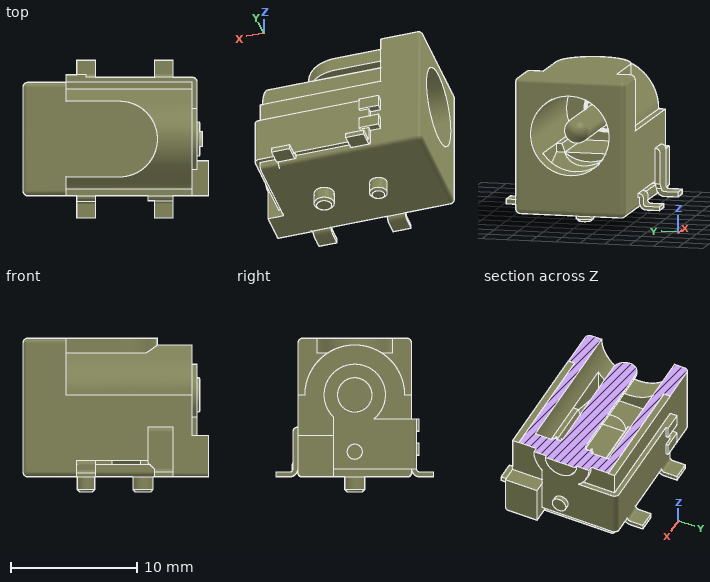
import cadquery as cq
import math

DIAGONAL = math.sqrt(0.5)

HALF_WIDTH = 4.5
HOUSING_TOP = 11.0
AXIS_Z = 6.5
FRONT_BLOCK_LENGTH = 3.4
SEAM_X = 11.9
HOUSING_END = 13.4
BARREL_RADIUS = 3.95
EDGE_RADIUS = 0.4
CAP_EDGE_RADIUS = 0.3

TONGUE_RADIUS = 3.0
TONGUE_END = 10.65
TONGUE_THICKNESS = 1.2

STEP_END = 14.7
STEP_HEIGHT = 3.3
STEP_INNER_Y = -1.7

LUG_LENGTH = 1.6
LUG_HEIGHT = 1.0
LUG_OUTER_Y = 5.1
LUG_BOTTOMS = (1.7, 3.6)

BORE_RADIUS = 3.2
RECESS_START = 1.8
RECESS_END = 6.3
RECESS_TOP = 4.68
RAMP_START_Z = 2.3
CHANNEL_FLOOR = 4.0
CHANNEL_FLOOR_HALF_WIDTH = 1.94
CHANNEL_TOP_HALF_WIDTH = 2.2

PIN_RADIUS = 1.0
PIN_TIP_X = 1.45
COLLAR_RADIUS = 1.1
COLLAR_LENGTH = 0.2
BOSS_RADIUS = 3.5 / 2
BOSS_RIM_RADIUS = 3.2 / 2
BOSS_RECESS_RADIUS = 3.0 / 2
BOSS_LENGTH = 0.4
BOSS_RECESS_DEPTH = 0.2

PEG_LENGTH = 1.2
PEG_CHAMFER = 0.2
PEGS = ((5.0, 1.4 / 2), (9.5, 1.6 / 2))

SHEET = 0.4
THIN_SHEET = 0.3
BEND_RADIUS = 0.25
FOOT_WIDTH = 1.5
FOOT_END_Y = 6.25
FRONT_FOOT_X = 4.25
REAR_FOOT_X = SEAM_X - FOOT_WIDTH

FRONT_TERMINAL_TOP = 1.3
FRONT_TERMINAL_OUTER_Y = 4.95
FRONT_TERMINAL_TOP_RADIUS = 0.35

TALL_PLATE_START = 9.9
TALL_PLATE_TOP = 3.95
TALL_PLATE_TOP_RADIUS = 0.38
TALL_PLATE_CORNER_Z = 1.1
PLATE_BOTTOM = SHEET + BEND_RADIUS

WRAP_TOP = 4.6
WRAP_DISC_RADIUS = 2.43

RIVET_RADIUS = 1.36
RIVET_LENGTH = 0.2
RIVET_ROUNDING = 0.1
STUD_RADIUS = 0.6
STUD_LENGTH = 0.4
STUD_Z = 2.0

SLOT_BOTTOM = 1.0
SLOT_TOP = FRONT_TERMINAL_TOP
SLOT_DEPTH = 1.0
SLOT_COVE_START = 7.05
SLOT_COVE_END = 9.3
SLOT_COVE_RADIUS = 0.5


def box(x0, x1, y0, y1, z0, z1):
    """Box between two opposite corners."""
    return cq.Workplane("XY").box(x1 - x0, y1 - y0, z1 - z0, centered=False).translate((x0, y0, z0))


def rod(radius, x0, x1, z=AXIS_Z):
    """Cylinder along X on the middle plane."""
    return cq.Workplane("YZ", origin=(x0, 0, z)).circle(radius).extrude(x1 - x0)


def make_housing():
    """Front block, lower body with the barrel on it, and the rear cap with its step."""
    block = box(0, FRONT_BLOCK_LENGTH, -HALF_WIDTH, HALF_WIDTH, 0, HOUSING_TOP)
    block = block.edges("|X or <X").fillet(EDGE_RADIUS)

    body = box(FRONT_BLOCK_LENGTH, SEAM_X, -HALF_WIDTH, HALF_WIDTH, 0, AXIS_Z)
    body = body.edges("|X and <Z").fillet(EDGE_RADIUS)

    cap = box(SEAM_X, HOUSING_END, -HALF_WIDTH, HALF_WIDTH, 0, AXIS_Z)
    cap = cap.union(box(SEAM_X, STEP_END, -HALF_WIDTH, STEP_INNER_Y, 0, STEP_HEIGHT))
    cap = cap.edges("|X and <Z").edges("<Y or >Y").fillet(CAP_EDGE_RADIUS)

    barrel = rod(BARREL_RADIUS, FRONT_BLOCK_LENGTH, HOUSING_END)
    return block.union(body).union(cap).union(barrel)


def make_tongue():
    """Flat tongue with a round end, reaching back from the top of the front block."""
    arc_x = TONGUE_END - TONGUE_RADIUS
    return (
        cq.Workplane("XY", origin=(0, 0, HOUSING_TOP - TONGUE_THICKNESS))
        .moveTo(FRONT_BLOCK_LENGTH, -TONGUE_RADIUS)
        .lineTo(arc_x, -TONGUE_RADIUS)
        .threePointArc((TONGUE_END, 0), (arc_x, TONGUE_RADIUS))
        .lineTo(FRONT_BLOCK_LENGTH, TONGUE_RADIUS)
        .close()
        .extrude(TONGUE_THICKNESS)
    )


def make_lugs():
    """Two lugs on the +Y wall that hold the wrapping terminal."""
    lugs = cq.Workplane("XY")
    lug_end = FRONT_BLOCK_LENGTH + LUG_LENGTH
    for bottom in LUG_BOTTOMS:
        top = bottom + LUG_HEIGHT
        lugs = lugs.union(box(FRONT_BLOCK_LENGTH, lug_end, HALF_WIDTH, LUG_OUTER_Y, bottom, top))
    return lugs


def make_socket_cavity():
    """Round bore with the ramped spring recess and the narrower channel behind it."""
    bore = rod(BORE_RADIUS, 0, SEAM_X)
    filled = box(RECESS_END, SEAM_X, -BORE_RADIUS, BORE_RADIUS, AXIS_Z - BORE_RADIUS, RECESS_TOP)
    bore = bore.cut(filled)

    recess_half_width = math.sqrt(BORE_RADIUS**2 - (AXIS_Z - RECESS_TOP) ** 2)
    recess = (
        cq.Workplane("XZ", origin=(0, recess_half_width, 0))
        .polyline(
            [
                (RECESS_START, RAMP_START_Z),
                (RECESS_END, CHANNEL_FLOOR),
                (RECESS_END, RECESS_TOP),
                (RECESS_START, RECESS_TOP),
            ]
        )
        .close()
        .extrude(2 * recess_half_width)
    )
    channel = (
        cq.Workplane("YZ", origin=(RECESS_END, 0, 0))
        .polyline(
            [
                (-CHANNEL_FLOOR_HALF_WIDTH, CHANNEL_FLOOR),
                (CHANNEL_FLOOR_HALF_WIDTH, CHANNEL_FLOOR),
                (CHANNEL_TOP_HALF_WIDTH, RECESS_TOP),
                (-CHANNEL_TOP_HALF_WIDTH, RECESS_TOP),
            ]
        )
        .close()
        .extrude(SEAM_X - RECESS_END)
    )
    return bore.union(recess).union(channel)


def make_center_pin():
    """Round-nosed contact pin with its collar and boss, turned about the jack axis."""
    boss_front = SEAM_X - BOSS_LENGTH
    recess_floor = boss_front + BOSS_RECESS_DEPTH
    nose_x = PIN_TIP_X + PIN_RADIUS
    nose_mid = PIN_RADIUS * DIAGONAL
    return (
        cq.Workplane("XY")
        .moveTo(PIN_TIP_X, 0)
        .threePointArc((nose_x - nose_mid, nose_mid), (nose_x, PIN_RADIUS))
        .lineTo(recess_floor - COLLAR_LENGTH, PIN_RADIUS)
        .lineTo(recess_floor - COLLAR_LENGTH, COLLAR_RADIUS)
        .lineTo(recess_floor, COLLAR_RADIUS)
        .lineTo(recess_floor, BOSS_RECESS_RADIUS)
        .lineTo(boss_front, BOSS_RECESS_RADIUS)
        .lineTo(boss_front, BOSS_RIM_RADIUS)
        .lineTo(recess_floor, BOSS_RIM_RADIUS)
        .lineTo(recess_floor, BOSS_RADIUS)
        .lineTo(SEAM_X, BOSS_RADIUS)
        .lineTo(SEAM_X, 0)
        .close()
        .revolve(360, (0, 0, 0), (1, 0, 0))
        .translate((0, 0, AXIS_Z))
    )


def make_pegs():
    """Two chamfered locating pegs under the housing."""
    pegs = cq.Workplane("XY")
    for x, radius in PEGS:
        peg = cq.Workplane("XY", origin=(x, 0, -PEG_LENGTH)).circle(radius).extrude(PEG_LENGTH)
        pegs = pegs.union(peg.faces("<Z").chamfer(PEG_CHAMFER))
    return pegs


def make_wall_slot():
    """Slot in the -Y wall whose back is coved up to its ceiling over the middle stretch."""
    back_y = -HALF_WIDTH + SLOT_DEPTH
    slot = box(FRONT_FOOT_X + FOOT_WIDTH, REAR_FOOT_X, -HALF_WIDTH, back_y, SLOT_BOTTOM, SLOT_TOP)
    cove_radius = SLOT_COVE_RADIUS
    cove = box(SLOT_COVE_START, SLOT_COVE_END, back_y - cove_radius, back_y, SLOT_BOTTOM, SLOT_TOP)
    hollow = (
        cq.Workplane("YZ", origin=(SLOT_COVE_START, back_y - cove_radius, SLOT_TOP - cove_radius))
        .circle(cove_radius)
        .extrude(SLOT_COVE_END - SLOT_COVE_START)
    )
    return slot.cut(cove.cut(hollow))


def make_foot(x, side):
    """Foot of a plate terminal: bent out of the plate on the given Y side (+1 or -1)."""
    outer_radius = SHEET + BEND_RADIUS
    bend_y = HALF_WIDTH + outer_radius
    foot = (
        cq.Workplane("YZ", origin=(x, 0, 0))
        .moveTo(HALF_WIDTH, outer_radius)
        .threePointArc(
            (bend_y - outer_radius * DIAGONAL, outer_radius * (1 - DIAGONAL)), (bend_y, 0)
        )
        .lineTo(FOOT_END_Y, 0)
        .lineTo(FOOT_END_Y, SHEET)
        .lineTo(bend_y, SHEET)
        .threePointArc(
            (bend_y - BEND_RADIUS * DIAGONAL, outer_radius - BEND_RADIUS * DIAGONAL),
            (HALF_WIDTH + SHEET, outer_radius),
        )
        .close()
        .extrude(FOOT_WIDTH)
    )
    return foot if side > 0 else foot.mirror("XZ")


def make_front_terminal():
    """Small terminal that leaves the -Y wall and steps down to its foot."""
    outer_y = -FRONT_TERMINAL_OUTER_Y
    inner_y = outer_y + THIN_SHEET
    under_z = FRONT_TERMINAL_TOP - THIN_SHEET
    terminal = (
        cq.Workplane("YZ", origin=(FRONT_FOOT_X, 0, 0))
        .polyline(
            [
                (-HALF_WIDTH + SLOT_DEPTH, FRONT_TERMINAL_TOP),
                (outer_y, FRONT_TERMINAL_TOP),
                (outer_y, THIN_SHEET),
                (-FOOT_END_Y, THIN_SHEET),
                (-FOOT_END_Y, 0),
                (inner_y, 0),
                (inner_y, under_z),
                (-HALF_WIDTH + SLOT_DEPTH, under_z),
            ]
        )
        .close()
        .extrude(FOOT_WIDTH)
    )

    def round_edge(shape, y, z, radius):
        center = (FRONT_FOOT_X + FOOT_WIDTH / 2, y, z)
        return shape.edges(cq.selectors.NearestToPointSelector(center)).fillet(radius)

    terminal = round_edge(terminal, outer_y, FRONT_TERMINAL_TOP, FRONT_TERMINAL_TOP_RADIUS)
    terminal = round_edge(terminal, outer_y, THIN_SHEET, BEND_RADIUS)
    return round_edge(terminal, inner_y, 0, THIN_SHEET + BEND_RADIUS)


def make_tall_terminal():
    """Tall plate terminal on the -Y wall, rounded on top, narrowed above its foot."""
    outer_y = -HALF_WIDTH - SHEET
    plate = box(TALL_PLATE_START, SEAM_X, outer_y, -HALF_WIDTH, PLATE_BOTTOM, TALL_PLATE_TOP)
    plate = plate.edges("|X and <Y and >Z").fillet(TALL_PLATE_TOP_RADIUS)
    corner = (
        cq.Workplane("XZ", origin=(0, -HALF_WIDTH, 0))
        .polyline(
            [
                (TALL_PLATE_START, PLATE_BOTTOM),
                (REAR_FOOT_X, PLATE_BOTTOM),
                (TALL_PLATE_START, TALL_PLATE_CORNER_Z),
            ]
        )
        .close()
        .extrude(SHEET)
    )
    return plate.cut(corner).union(make_foot(REAR_FOOT_X, -1))


def make_wrap_terminal():
    """Terminal along the +Y wall that turns round the rear corner and ends in a disc."""
    outer_y = HALF_WIDTH + SHEET
    rear_x = HOUSING_END + SHEET
    strip = box(FRONT_FOOT_X, rear_x, STEP_INNER_Y, outer_y, PLATE_BOTTOM, WRAP_TOP)
    strip = strip.edges("|Z and >X and >Y").fillet(SHEET)
    strip = strip.cut(box(0, HOUSING_END, STEP_INNER_Y, HALF_WIDTH, 0, WRAP_TOP))
    rear = box(HOUSING_END, rear_x, STEP_INNER_Y, 0, PLATE_BOTTOM, AXIS_Z)
    terminal = strip.union(rear).union(rod(WRAP_DISC_RADIUS, HOUSING_END, rear_x))
    for x in (FRONT_FOOT_X, REAR_FOOT_X):
        terminal = terminal.union(make_foot(x, 1))
    return terminal


def make_rivets():
    """Pin rivet head on the disc and the small stud below it."""
    rear_x = HOUSING_END + SHEET
    head = rod(RIVET_RADIUS, rear_x, rear_x + RIVET_LENGTH).faces(">X").edges().fillet(RIVET_ROUNDING)
    stud = rod(STUD_RADIUS, rear_x, rear_x + STUD_LENGTH, STUD_Z)
    return head.union(stud)


housing = make_housing().union(make_tongue()).union(make_lugs())
housing = housing.cut(make_socket_cavity()).cut(make_wall_slot())

result = housing.union(make_center_pin()).union(make_pegs())
for metal in (make_front_terminal(), make_tall_terminal(), make_wrap_terminal(), make_rivets()):
    result = result.union(metal)